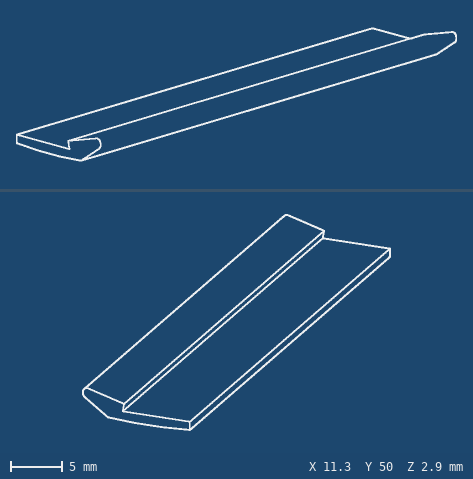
import cadquery as cq
import math

length = 50.0
width = 11.3
height = 2.9

wing_top = 1.05
bow_depth = 0.175
underside_width = 8.65

lip_foot_x = 7.1
lip_edge_x = 6.95
lip_edge_z = 1.85
lip_slope = math.radians(15.5)

nose_radius = 0.45
nose_bottom = 2.05

corner_setback = nose_radius * math.tan((math.pi / 2 + lip_slope) / 2)
nose_top = height - nose_radius + corner_setback

profile = (
    cq.Workplane("XZ")
    .moveTo(0, bow_depth)
    .threePointArc((underside_width / 2, 0), (underside_width, bow_depth))
    .lineTo(width, nose_bottom)
    .lineTo(width, nose_top)
    .lineTo(lip_edge_x, lip_edge_z)
    .lineTo(lip_foot_x, wing_top)
    .lineTo(0, wing_top)
    .close()
)

strip = profile.extrude(length / 2, both=True)

result = strip.faces(">X").edges("|Y").fillet(nose_radius)